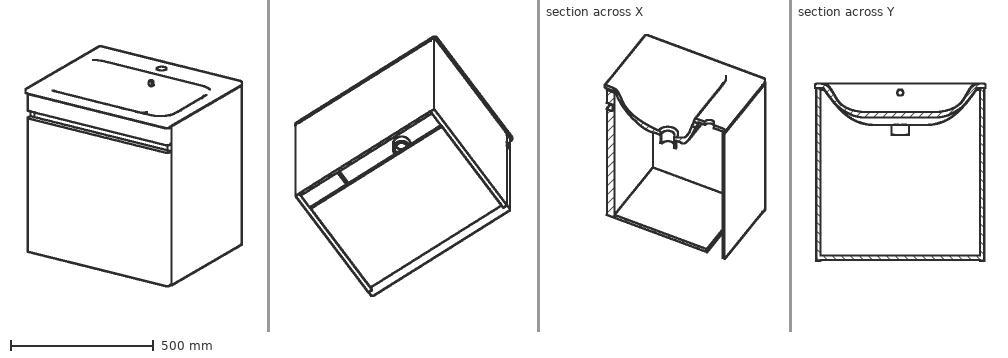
import cadquery as cq


TOTAL_HEIGHT = 621.5
BASIN_WIDTH = 600.0
BASIN_DEPTH = 480.5
CABINET_WIDTH = 590.0
CABINET_DEPTH = 450.0

SLAB_THICKNESS = 17.0
SLAB_CORNER_RADIUS = 8.0
SLAB_TOP_RADIUS = 7.0
SLAB_BOTTOM_RADIUS = 3.0
TAP_HOLE_DIAMETER = 35.0
TAP_HOLE_FROM_BACK = 62.0

DRAIN_FROM_BACK = 227.5
BOWL_INSIDE = [
    (0.0, 275.5, 111.0, 220.5, 71.5),
    (12.5, 248.5, 104.5, 197.0, 62.0),
    (66.0, 215.5, 89.0, 171.0, 56.0),
    (101.0, 173.0, 74.0, 127.5, 50.0),
    (115.5, 110.0, 57.0, 84.0, 43.5),
    (123.0, 38.0, 38.0, 38.0, 37.0),
]
BOWL_OUTSIDE = [
    (12.5, 273.5, 121.0, 210.0, 37.0),
    (66.0, 233.0, 104.5, 186.5, 50.0),
    (115.0, 183.5, 84.0, 140.0, 50.0),
    (143.0, 59.0, 53.0, 56.0, 43.5),
]
OVERFLOW_DIAMETER = 21.0
OVERFLOW_DEPTH_BELOW_TOP = 32.5

FUNNEL_DIAMETER = 72.0
FUNNEL_DEPTH = 7.5
PIPE_BORE = 47.0
PIPE_WALL = 7.5
PIPE_LENGTH = 37.0

BOARD_THICKNESS = 16.0
FLOOR_FROM_BACK = 71.5
FRONT_THICKNESS = 22.5
FRONT_EDGE_RADIUS = 6.0
FRONT_TOP_GAP = 4.5
RAIL_HEIGHT = 63.5
GRIP_HEIGHT = 28.5
FRONT_BOTTOM_GAP = 3.0
BACKING_THICKNESS = 10.0
BACK_BOARD_THICKNESS = 10.0

CABINET_HEIGHT = TOTAL_HEIGHT - SLAB_THICKNESS
INNER_WIDTH = CABINET_WIDTH - 2 * BOARD_THICKNESS
FRONT_TOP = CABINET_HEIGHT - FRONT_TOP_GAP
BOWL_FLOOR_Z = TOTAL_HEIGHT - BOWL_INSIDE[-1][0]
PIPE_BOTTOM_Z = TOTAL_HEIGHT - BOWL_OUTSIDE[-1][0] - PIPE_LENGTH
PIPE_TO_FLOOR = BOWL_FLOOR_Z - PIPE_BOTTOM_Z


def block(width, y_front, y_back, z_bottom, z_top):
    """Box centred on X = 0 between the given Y and Z planes."""
    return (
        cq.Workplane("XY", origin=(0, (y_front + y_back) / 2, z_bottom))
        .rect(width, y_back - y_front)
        .extrude(z_top - z_bottom)
    )


def cylinder(y_center, z_bottom, diameter, height):
    """Upright cylinder on the centre plane."""
    return cq.Workplane("XY", origin=(0, y_center, z_bottom)).circle(diameter / 2).extrude(height)


def bowl_loft(sections):
    """Smooth loft through rounded rectangles placed around the drain axis."""
    wires = []
    for depth, half_width, back, front, radius in sections:
        y_center = -DRAIN_FROM_BACK + (back - front) / 2
        center = cq.Vector(0, y_center, TOTAL_HEIGHT - depth)
        outline = cq.Face.makePlane(back + front, 2 * half_width, center)
        outline = outline.fillet2D(radius, outline.Vertices())
        wires.append(outline.outerWire())
    return cq.Workplane(cq.Solid.makeLoft(wires))


def make_slab():
    slab = block(BASIN_WIDTH, -BASIN_DEPTH, 0, CABINET_HEIGHT, TOTAL_HEIGHT)
    slab = slab.edges("|Z").fillet(SLAB_CORNER_RADIUS)
    slab = slab.faces(">Z").edges().fillet(SLAB_TOP_RADIUS)
    return slab.faces("<Z").edges().fillet(SLAB_BOTTOM_RADIUS)


def make_drain_cut():
    """Funnel below the bowl floor and the bore of the drain pipe."""
    funnel = (
        cq.Workplane("XY", origin=(0, -DRAIN_FROM_BACK, BOWL_FLOOR_Z))
        .circle(FUNNEL_DIAMETER / 2)
        .workplane(offset=-FUNNEL_DEPTH)
        .circle(PIPE_BORE / 2)
        .loft()
    )
    bore = cylinder(-DRAIN_FROM_BACK, PIPE_BOTTOM_Z, PIPE_BORE, PIPE_TO_FLOOR)
    return funnel.union(bore)


def make_overflow_cut():
    """Horizontal hole from the drain axis out through the back wall of the bowl."""
    z_center = TOTAL_HEIGHT - OVERFLOW_DEPTH_BELOW_TOP
    reach = BOWL_OUTSIDE[0][2]
    return (
        cq.Workplane("XZ", origin=(0, -DRAIN_FROM_BACK, z_center))
        .circle(OVERFLOW_DIAMETER / 2)
        .extrude(-reach)
    )


def make_basin():
    pipe = cylinder(-DRAIN_FROM_BACK, PIPE_BOTTOM_Z, PIPE_BORE + 2 * PIPE_WALL, PIPE_TO_FLOOR)
    tap_hole = cylinder(-TAP_HOLE_FROM_BACK, CABINET_HEIGHT, TAP_HOLE_DIAMETER, SLAB_THICKNESS)
    basin = make_slab().union(bowl_loft(BOWL_OUTSIDE)).union(pipe)
    basin = basin.cut(bowl_loft(BOWL_INSIDE)).cut(tap_hole)
    return basin.cut(make_drain_cut()).cut(make_overflow_cut())


def make_cabinet():
    """Two side boards joined by a back board and by a floor that stops short of the back."""
    cabinet = block(CABINET_WIDTH, -CABINET_DEPTH, 0, 0, CABINET_HEIGHT)
    cabinet = cabinet.cut(block(INNER_WIDTH, -CABINET_DEPTH, 0, 0, CABINET_HEIGHT))
    back_board = block(INNER_WIDTH, -BACK_BOARD_THICKNESS, 0, FRONT_BOTTOM_GAP, FRONT_TOP)
    floor_front = -CABINET_DEPTH + BACKING_THICKNESS
    floor_top = FRONT_BOTTOM_GAP + BOARD_THICKNESS
    floor = block(INNER_WIDTH, floor_front, -FLOOR_FROM_BACK, FRONT_BOTTOM_GAP, floor_top)
    return cabinet.union(back_board).union(floor)


def make_front_panel(z_bottom, z_top):
    """Full-width board ahead of the side boards, with rounded upright edges."""
    panel = block(CABINET_WIDTH, -CABINET_DEPTH - FRONT_THICKNESS, -CABINET_DEPTH, z_bottom, z_top)
    return panel.faces("<Y").edges("|Z").fillet(FRONT_EDGE_RADIUS)


def make_front():
    """Rail and door with a grip groove between them, joined by a backing between the side boards."""
    rail_bottom = FRONT_TOP - RAIL_HEIGHT
    door_top = rail_bottom - GRIP_HEIGHT
    backing_back = -CABINET_DEPTH + BACKING_THICKNESS
    backing = block(INNER_WIDTH, -CABINET_DEPTH, backing_back, FRONT_BOTTOM_GAP, FRONT_TOP)
    rail = make_front_panel(rail_bottom, FRONT_TOP)
    door = make_front_panel(FRONT_BOTTOM_GAP, door_top)
    return backing.union(rail).union(door)


basin = make_basin()
cabinet = make_cabinet()
front = make_front()

result = cq.Compound.makeCompound([*basin.solids().vals(), *cabinet.solids().vals(), *front.solids().vals()])